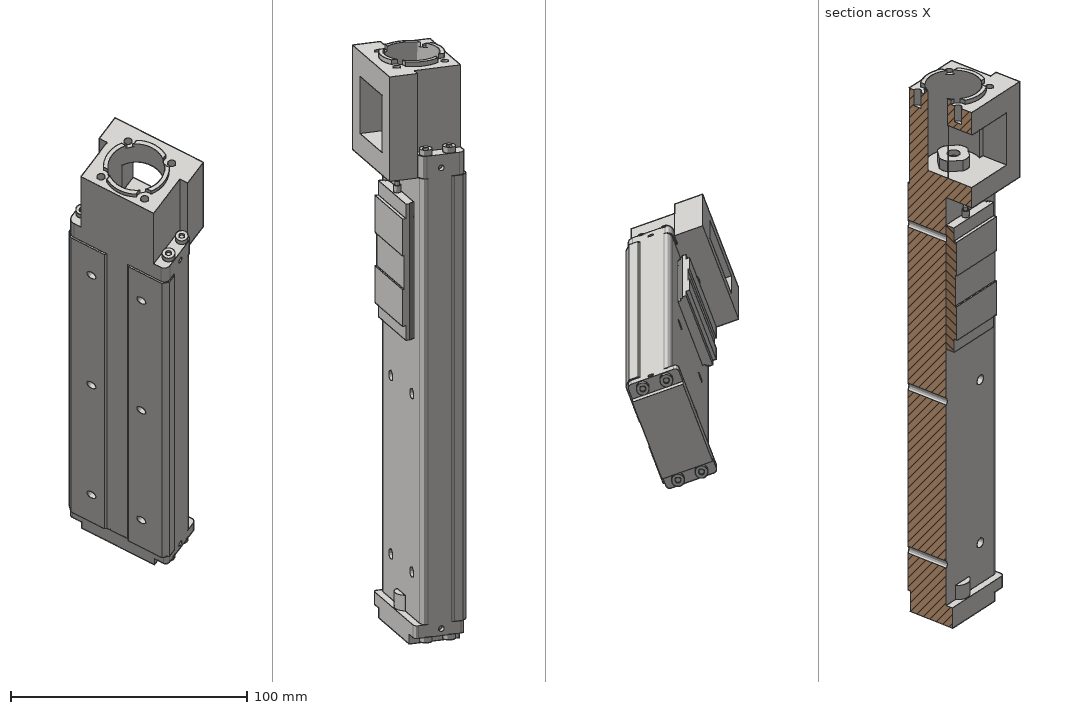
import cadquery as cq
import math

TOTAL_HEIGHT = 259.0

PROFILE_BOTTOM = 10.0
PROFILE_LENGTH = 200.0
PROFILE_TOP = PROFILE_BOTTOM + PROFILE_LENGTH
FOOT_WIDTH = 50.0
FOOT_HEIGHT = 6.5
FOOT_CHAMFER = 2.3
BODY_WIDTH = 49.0
PROFILE_DEPTH = 20.7
BACK_FILLET = 2.8
FACE_GROOVE_HALF_WIDTH = 5.2
FACE_GROOVE_DEPTH = 0.8
MOUNT_HOLE_DIAMETER = 4.5
MOUNT_HOLE_X = 12.5
MOUNT_HOLE_FIRST_Z = 30.0
MOUNT_HOLE_PITCH = 80.0
MOUNT_HOLE_ROWS = 3

WEB_WIDTH = 36.3
SCREW_HEAD_DIAMETER = 5.5
SCREW_HEAD_HEIGHT = 2.5
SCREW_SOCKET_DIAMETER = 2.5
SCREW_SOCKET_DEPTH = 1.3
SCREW_X = 21.5
SCREW_YS = (7.3, 18.0)
SIDE_HOLE_DIAMETER = 2.45
SIDE_HOLE_DEPTH = 2.5
SIDE_HOLE_Y = 12.0
UPPER_SIDE_HOLE_Z = 214.2
LOWER_SIDE_HOLE_Z = 7.5

FLANGE_HEIGHT = 2.0
BLOCK_TOP = TOTAL_HEIGHT - FLANGE_HEIGHT
BLOCK_FRONT = FACE_GROOVE_DEPTH
BLOCK_BACK = 34.5
BLOCK_WIDTH = 44.0
BLOCK_STEP_Y = 21.8
EAR_TOP = 220.2
EAR_BACK = 21.2
MOTOR_AXIS_Y = 16.0
FLANGE_DIAMETER = 28.0
MOTOR_BORE_DIAMETER = 24.0
MOTOR_SCREW_OFFSET = 11.0
MOTOR_SCREW_DIAMETER = 3.4
MOTOR_SCREW_RELIEF_DIAMETER = 7.3
MOTOR_SCREW_DEPTH = 7.8
WINDOW_WIDTH = 26.0
WINDOW_TOP = 245.8
HUB_DIAMETER = 14.5
HUB_SQUARE_SIDE = 13.0
HUB_HEIGHT = 5.2
SHAFT_BORE_DIAMETER = 5.5
SHAFT_BORE_DEPTH = 2.5
SHAFT_CENTRE_DIAMETER = 3.5
SHAFT_CENTRE_DEPTH = 5.2

CAP_FRONT = 1.3
CAP_BACK = 24.0
CAP_EAR_BOTTOM = 4.5
CAP_FILLET = 1.8

LOWER_STOP_DIAMETER = 11.0
LOWER_STOP_BACK = 23.5
LOWER_STOP_LENGTH = 7.0
UPPER_STOP_DIAMETER = 11.0
UPPER_STOP_BACK = 24.9
UPPER_STOP_LENGTH = 2.0
STOP_SCREW_DIAMETER = 5.0
STOP_SCREW_BACK = 23.0
STOP_SCREW_LENGTH = 4.5

SLIDER_BOTTOM = 135.7
SLIDER_TOP = 196.8
SLIDER_WIDTH = 32.6
SLIDER_BASE_WIDTH = 30.0
SLIDER_BASE_TOP_Y = 23.0
SLIDER_LIP_Y = 22.0
SLIDER_LIP_WIDTH = 31.5
END_PLATE_LENGTH = 6.5
END_PLATE_BACK = 24.9
TABLE_BACK = 25.6
PAD_BACK = 26.5
PAD_LENGTH = 16.5
NIPPLE_DIAMETER = 3.0
NIPPLE_LENGTH = 3.0
NIPPLE_TIP_DIAMETER = 2.02
NIPPLE_TIP_LENGTH = 1.8
NIPPLE_Y = 22.5


def box(width, y_front, y_back, z_bottom, z_top):
    """Box centred on X between the given Y and Z limits."""
    return cq.Workplane("XY").box(
        width, y_back - y_front, z_top - z_bottom, centered=(True, False, False)
    ).translate((0, y_front, z_bottom))


def upright_cylinder(diameter, x, y, z_bottom, z_top):
    return cq.Workplane("XY", origin=(x, y, z_bottom)).circle(diameter / 2).extrude(z_top - z_bottom)


def base_profile():
    """Extrusion with a wider chamfered foot, a face groove and rounded back edges."""
    foot = FOOT_WIDTH / 2
    body = BODY_WIDTH / 2
    step = foot - body
    groove = FACE_GROOVE_HALF_WIDTH
    shoulder = groove + FACE_GROOVE_DEPTH
    arc_inset = BACK_FILLET * (1 - math.sqrt(0.5))
    profile = (
        cq.Workplane("XY", origin=(0, 0, PROFILE_BOTTOM))
        .moveTo(0, FACE_GROOVE_DEPTH)
        .lineTo(groove, FACE_GROOVE_DEPTH)
        .lineTo(shoulder, 0)
        .lineTo(foot - FOOT_CHAMFER, 0)
        .lineTo(foot, FOOT_CHAMFER)
        .lineTo(foot, FOOT_HEIGHT)
        .lineTo(body, FOOT_HEIGHT + step)
        .lineTo(body, PROFILE_DEPTH - BACK_FILLET)
        .threePointArc(
            (body - arc_inset, PROFILE_DEPTH - arc_inset), (body - BACK_FILLET, PROFILE_DEPTH)
        )
        .lineTo(0, PROFILE_DEPTH)
        .mirrorY()
        .extrude(PROFILE_LENGTH)
    )
    for row in range(MOUNT_HOLE_ROWS):
        z = MOUNT_HOLE_FIRST_Z + row * MOUNT_HOLE_PITCH
        holes = (
            cq.Workplane("XZ")
            .pushPoints([(-MOUNT_HOLE_X, z), (MOUNT_HOLE_X, z)])
            .circle(MOUNT_HOLE_DIAMETER / 2)
            .extrude(-PROFILE_DEPTH)
        )
        profile = profile.cut(holes)
    return profile


def screw_heads(seat_z, direction):
    """Four socket heads standing on a seat; direction is +1 for heads that point up, -1 for down."""
    places = [(side * SCREW_X, y) for side in (-1, 1) for y in SCREW_YS]
    head_end = seat_z + direction * SCREW_HEAD_HEIGHT
    heads = (
        cq.Workplane("XY", origin=(0, 0, seat_z))
        .pushPoints(places)
        .circle(SCREW_HEAD_DIAMETER / 2)
        .extrude(direction * SCREW_HEAD_HEIGHT)
    )
    sockets = (
        cq.Workplane("XY", origin=(0, 0, head_end))
        .pushPoints(places)
        .circle(SCREW_SOCKET_DIAMETER / 2)
        .extrude(-direction * SCREW_SOCKET_DEPTH)
    )
    return heads.cut(sockets)


def side_holes(z):
    """Set-screw holes entering from both outer sides."""
    hole = (
        cq.Workplane("YZ", origin=(BODY_WIDTH / 2, 0, 0))
        .center(SIDE_HOLE_Y, z)
        .circle(SIDE_HOLE_DIAMETER / 2)
        .extrude(-SIDE_HOLE_DEPTH)
    )
    return hole.union(hole.mirror("YZ"))


def motor_cavity():
    """Motor bore, coupling window open to the back, and four screw holes with reliefs in the flange."""
    bore = upright_cylinder(MOTOR_BORE_DIAMETER, 0, MOTOR_AXIS_Y, EAR_TOP, TOTAL_HEIGHT)
    window = box(WINDOW_WIDTH, BLOCK_STEP_Y, BLOCK_BACK, EAR_TOP, WINDOW_TOP)
    cavity = bore.union(window)
    for x in (-MOTOR_SCREW_OFFSET, MOTOR_SCREW_OFFSET):
        for dy in (-MOTOR_SCREW_OFFSET, MOTOR_SCREW_OFFSET):
            screw_hole = upright_cylinder(
                MOTOR_SCREW_DIAMETER, x, MOTOR_AXIS_Y + dy, BLOCK_TOP - MOTOR_SCREW_DEPTH, TOTAL_HEIGHT
            )
            relief = upright_cylinder(
                MOTOR_SCREW_RELIEF_DIAMETER, x, MOTOR_AXIS_Y + dy, BLOCK_TOP, TOTAL_HEIGHT
            )
            cavity = cavity.union(screw_hole).union(relief)
    return cavity


def coupling_hub():
    """Hub on the floor of the bore: a diagonal square with rounded corners and a stepped shaft bore."""
    hub_top = EAR_TOP + HUB_HEIGHT
    square = (
        cq.Workplane("XY", origin=(0, MOTOR_AXIS_Y, EAR_TOP))
        .transformed(rotate=(0, 0, 45))
        .rect(HUB_SQUARE_SIDE, HUB_SQUARE_SIDE)
        .extrude(HUB_HEIGHT)
    )
    hub = upright_cylinder(HUB_DIAMETER, 0, MOTOR_AXIS_Y, EAR_TOP, hub_top).intersect(square)
    bore = upright_cylinder(SHAFT_BORE_DIAMETER, 0, MOTOR_AXIS_Y, hub_top - SHAFT_BORE_DEPTH, hub_top)
    centre = upright_cylinder(SHAFT_CENTRE_DIAMETER, 0, MOTOR_AXIS_Y, hub_top - SHAFT_CENTRE_DEPTH, hub_top)
    return hub.cut(bore).cut(centre)


def motor_block():
    """Block on top of the profile: narrow front, wide back, screwed ears and motor flange."""
    ears = box(BODY_WIDTH, BLOCK_FRONT, EAR_BACK, PROFILE_TOP, EAR_TOP).edges("|Z").fillet(BACK_FILLET)
    front = box(WEB_WIDTH, BLOCK_FRONT, BLOCK_STEP_Y, PROFILE_TOP, BLOCK_TOP)
    back = box(BLOCK_WIDTH, BLOCK_STEP_Y, BLOCK_BACK, PROFILE_TOP, BLOCK_TOP)
    flange = upright_cylinder(FLANGE_DIAMETER, 0, MOTOR_AXIS_Y, BLOCK_TOP, TOTAL_HEIGHT)
    block = front.union(back).union(ears).union(flange)
    block = block.cut(motor_cavity()).cut(side_holes(UPPER_SIDE_HOLE_Z))
    return block.union(coupling_hub()).union(screw_heads(EAR_TOP, 1))


def end_cap():
    """Cap under the profile, with corner ears raised to clear the screw heads."""
    ears = box(BODY_WIDTH, CAP_FRONT, CAP_BACK, CAP_EAR_BOTTOM, PROFILE_BOTTOM).edges("|Z").fillet(CAP_FILLET)
    web = box(WEB_WIDTH, CAP_FRONT, CAP_BACK, 0, PROFILE_BOTTOM)
    cap = ears.union(web).cut(side_holes(LOWER_SIDE_HOLE_Z))
    return cap.union(screw_heads(CAP_EAR_BOTTOM, -1))


def travel_stops():
    """Round stops above the end cap and below the motor block."""
    lower = upright_cylinder(
        LOWER_STOP_DIAMETER, 0, LOWER_STOP_BACK - LOWER_STOP_DIAMETER / 2,
        PROFILE_BOTTOM, PROFILE_BOTTOM + LOWER_STOP_LENGTH,
    )
    upper = upright_cylinder(
        UPPER_STOP_DIAMETER, 0, UPPER_STOP_BACK - UPPER_STOP_DIAMETER / 2,
        PROFILE_TOP - UPPER_STOP_LENGTH, PROFILE_TOP,
    )
    screw = upright_cylinder(
        STOP_SCREW_DIAMETER, 0, STOP_SCREW_BACK - STOP_SCREW_DIAMETER / 2,
        PROFILE_TOP - STOP_SCREW_LENGTH, PROFILE_TOP,
    )
    return lower.union(upper).union(screw)


def make_housing():
    return base_profile().union(motor_block()).union(end_cap()).union(travel_stops())


def make_slider():
    """Slider riding on the back of the profile: stepped base, table, pads, end plates, grease nipple."""
    table_bottom = SLIDER_BOTTOM + END_PLATE_LENGTH
    table_top = SLIDER_TOP - END_PLATE_LENGTH
    base = box(SLIDER_BASE_WIDTH, PROFILE_DEPTH, SLIDER_LIP_Y, SLIDER_BOTTOM, SLIDER_TOP)
    lip = box(SLIDER_LIP_WIDTH, SLIDER_LIP_Y, SLIDER_BASE_TOP_Y, SLIDER_BOTTOM, SLIDER_TOP)
    end_plates = box(SLIDER_WIDTH, SLIDER_BASE_TOP_Y, END_PLATE_BACK, SLIDER_BOTTOM, SLIDER_TOP)
    table = box(SLIDER_WIDTH, SLIDER_BASE_TOP_Y, TABLE_BACK, table_bottom, table_top)
    slider = base.union(lip).union(end_plates).union(table)
    for pad_bottom in (table_bottom, table_top - PAD_LENGTH):
        pad = box(SLIDER_WIDTH, TABLE_BACK, PAD_BACK, pad_bottom, pad_bottom + PAD_LENGTH)
        slider = slider.union(pad)
    nipple_top = SLIDER_TOP + NIPPLE_LENGTH
    nipple = upright_cylinder(NIPPLE_DIAMETER, 0, NIPPLE_Y, SLIDER_TOP, nipple_top)
    tip = upright_cylinder(NIPPLE_TIP_DIAMETER, 0, NIPPLE_Y, nipple_top, nipple_top + NIPPLE_TIP_LENGTH)
    return slider.union(nipple).union(tip)


housing = make_housing()
slider = make_slider()
result = cq.Compound.makeCompound([housing.val(), slider.val()])